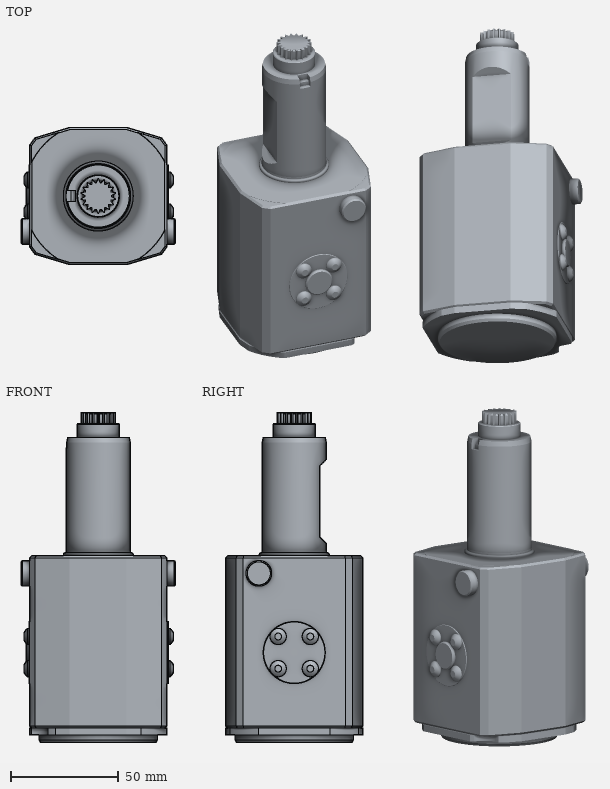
import cadquery as cq
import math

FOOT_BREAK_Z = 1.3
FOOT_TOP_Z = 3.6
PLATE_TOP_Z = 6.7
HOUSING_TOP_Z = 87.2
COLLAR_HEIGHT = 1.4
SHANK_ROOT_Z = 89.5
SHANK_TOP_Z = 142.4
SHANK_TAPER_Z = 140.0
NECK_TOP_Z = 148.8
OVERALL_HEIGHT = 154.0

HOUSING_HALF = 32.0
FRONT_FLAT_HALF = 13.4
CORNER_X = 29.5
CORNER_Y = 27.2
SIDE_FLAT_HALF = 23.8
HOUSING_CHAMFER = 1.0
TOP_STEP_RADIUS = 34.9
TOP_STEP_DEPTH = 0.15

PLATE_RADIUS = 36.1
NOTCH_X = -23.5
NOTCH_Y = -18.4
NOTCH_RADIUS = 6.5
FOOT_DIAMETER = 55.4
FOOT_BEVEL = 0.8

COLLAR_DIAMETER = 32.7
COLLAR_ROUNDING = 1.0
ROOT_DIAMETER = 30.3
SHANK_DIAMETER = 30.0
SHANK_TIP_DIAMETER = 29.0
NECK_DIAMETER = 19.8
NECK_CHAMFER = 0.3
FLAT_Y = 11.9
FLAT_BOTTOM_Z = 96.0
FLAT_TOP_Z = 129.1
KEY_WIDTH = 5.2
KEY_WALL_X = -10.7
KEY_FLOOR_Z = 137.5
KEY_STEP_X = -12.8
KEY_STEP_Z = 139.5

SPLINE_TEETH = 18
SPLINE_TIP_RADIUS = 8.1
SPLINE_ROOT_RADIUS = 7.1
SPLINE_END_RADIUS = 6.3
TIP_SHARE = 0.1
ROOT_SHARE = 0.2

COVER_DIAMETER = 29.0
COVER_Z = 42.0
COVER_CHAMFER = 0.2
LEFT_COVER_HEIGHT = 0.4
RIGHT_COVER_HEIGHT = 0.85
PLUG_DIAMETER = 13.2
PLUG_TIP_DIAMETER = 12.0
PLUG_HEIGHT = 1.4
SCREW_OFFSET = 7.5
SCREW_HEAD_DIAMETER = 7.6
SCREW_HEAD_HEIGHT = 2.3
SCREW_RIM_HEIGHT = 0.6
SCREW_TOP_DIAMETER = 3.2
SCREW_BULGE = 0.65
PIN_DIAMETER = 12.0
PIN_TIP_X = 36.0
PIN_Y = -16.5
PIN_Z = 78.95
PIN_CHAMFER = 0.6
EMBED = 1.0


def cylinder(diameter, bottom, top):
    return cq.Workplane("XY").workplane(offset=bottom).circle(diameter / 2).extrude(top - bottom)


def revolve_z(points):
    """Solid turned about the Z axis from (radius, z) points."""
    return cq.Workplane("XZ").polyline(points).close().revolve(360, (0, 0, 0), (0, 1, 0))


def housing_prism(bottom, top):
    """Twelve-sided block, symmetric about X and Y."""
    quarter = [
        (HOUSING_HALF, SIDE_FLAT_HALF),
        (CORNER_X, CORNER_Y),
        (FRONT_FLAT_HALF, HOUSING_HALF),
    ]
    mirrored = [(-x, y) for x, y in reversed(quarter)]
    upper = quarter + mirrored
    lower = [(-x, -y) for x, y in upper]
    return cq.Workplane("XY").workplane(offset=bottom).polyline(upper + lower).close().extrude(top - bottom)


def make_housing():
    body = housing_prism(PLATE_TOP_Z, HOUSING_TOP_Z)
    body = body.faces("<Z or >Z").chamfer(HOUSING_CHAMFER)
    rim = (
        cq.Workplane("XY")
        .workplane(offset=HOUSING_TOP_Z - TOP_STEP_DEPTH)
        .circle(2 * HOUSING_HALF)
        .circle(TOP_STEP_RADIUS)
        .extrude(TOP_STEP_DEPTH)
    )
    return body.cut(rim)


def make_base():
    plate = housing_prism(FOOT_TOP_Z, PLATE_TOP_Z)
    plate = plate.intersect(cylinder(2 * PLATE_RADIUS, FOOT_TOP_Z, PLATE_TOP_Z))
    foot_radius = FOOT_DIAMETER / 2
    foot = revolve_z([
        (0, 0),
        (foot_radius - FOOT_BEVEL, 0),
        (foot_radius, FOOT_BREAK_Z),
        (foot_radius, FOOT_TOP_Z),
        (0, FOOT_TOP_Z),
    ])
    return plate.cut(corner_notch()).union(foot)


def corner_notch():
    """Block that clears the -X -Y corner of the base plate."""
    notch = cq.Workplane("XY").box(
        HOUSING_HALF, HOUSING_HALF, PLATE_TOP_Z - FOOT_TOP_Z, centered=False
    )
    notch = notch.edges("|Z and >X and >Y").fillet(NOTCH_RADIUS)
    return notch.translate((NOTCH_X - HOUSING_HALF, NOTCH_Y - HOUSING_HALF, FOOT_TOP_Z))


def make_shank():
    collar_top = HOUSING_TOP_Z + COLLAR_HEIGHT
    collar = cylinder(COLLAR_DIAMETER, HOUSING_TOP_Z - EMBED, collar_top)
    collar = collar.faces(">Z").edges().fillet(COLLAR_ROUNDING)
    shank = revolve_z([
        (0, HOUSING_TOP_Z),
        (ROOT_DIAMETER / 2, HOUSING_TOP_Z),
        (ROOT_DIAMETER / 2, collar_top),
        (SHANK_DIAMETER / 2, SHANK_ROOT_Z),
        (SHANK_DIAMETER / 2, SHANK_TAPER_Z),
        (SHANK_TIP_DIAMETER / 2, SHANK_TOP_Z),
        (0, SHANK_TOP_Z),
    ])
    neck = cylinder(NECK_DIAMETER, SHANK_TOP_Z, NECK_TOP_Z).faces(">Z").chamfer(NECK_CHAMFER)
    return shank.cut(relief_flat()).cut(key_slot()).union(collar).union(neck)


def relief_flat():
    """Flat along the +Y side of the shank with 45 degree run-outs."""
    depth = SHANK_DIAMETER - FLAT_Y
    profile = [
        (FLAT_Y, FLAT_BOTTOM_Z),
        (FLAT_Y, FLAT_TOP_Z),
        (FLAT_Y + depth, FLAT_TOP_Z + depth),
        (FLAT_Y + depth, FLAT_BOTTOM_Z - depth),
    ]
    return cq.Workplane("YZ").polyline(profile).close().extrude(SHANK_DIAMETER / 2, both=True)


def key_slot():
    """Slot in the -X side of the shank tip with a stepped floor."""
    profile = [
        (-SHANK_DIAMETER, KEY_FLOOR_Z),
        (KEY_STEP_X, KEY_FLOOR_Z),
        (KEY_STEP_X, KEY_STEP_Z),
        (KEY_WALL_X, KEY_STEP_Z),
        (KEY_WALL_X, SHANK_TOP_Z),
        (-SHANK_DIAMETER, SHANK_TOP_Z),
    ]
    return cq.Workplane("XZ").polyline(profile).close().extrude(KEY_WIDTH / 2, both=True)


def make_spline():
    """Toothed shaft end with one tooth centred on the +Y axis."""
    half_gap = (1 - ROOT_SHARE) / 2
    pitch = 2 * math.pi / SPLINE_TEETH
    corners = [
        (SPLINE_END_RADIUS, -half_gap),
        (SPLINE_TIP_RADIUS, -TIP_SHARE / 2),
        (SPLINE_TIP_RADIUS, TIP_SHARE / 2),
        (SPLINE_END_RADIUS, half_gap),
    ]
    points = []
    for tooth in range(SPLINE_TEETH):
        for radius, share in corners:
            angle = math.pi / 2 + (tooth + share) * pitch
            points.append((radius * math.cos(angle), radius * math.sin(angle)))
    length = OVERALL_HEIGHT - NECK_TOP_Z
    teeth = cq.Workplane("XY").workplane(offset=NECK_TOP_Z).polyline(points).close().extrude(length)
    core = cylinder(2 * SPLINE_ROOT_RADIUS, NECK_TOP_Z, OVERALL_HEIGHT)
    core = core.faces(">Z").chamfer(SPLINE_ROOT_RADIUS - SPLINE_END_RADIUS)
    return teeth.union(core)


def side_disc(diameter, height):
    """Disc on the +X housing face, at Y = 0 and Z = 0."""
    return (
        cq.Workplane("YZ")
        .workplane(offset=HOUSING_HALF - EMBED)
        .circle(diameter / 2)
        .extrude(EMBED + height)
    )


def screw_head():
    """Button head screw pointing along +X, seated at X = 0."""
    radius = SCREW_HEAD_DIAMETER / 2
    top_radius = SCREW_TOP_DIAMETER / 2
    middle = (
        SCREW_RIM_HEIGHT + SCREW_BULGE * (SCREW_HEAD_HEIGHT - SCREW_RIM_HEIGHT),
        (radius + top_radius) / 2,
    )
    return (
        cq.Workplane("XY")
        .moveTo(0, 0)
        .lineTo(0, radius)
        .lineTo(SCREW_RIM_HEIGHT, radius)
        .threePointArc(middle, (SCREW_HEAD_HEIGHT, top_radius))
        .lineTo(SCREW_HEAD_HEIGHT, 0)
        .close()
        .revolve(360, (0, 0, 0), (1, 0, 0))
    )


def make_cover(height):
    """Round cover with four screws on the +X face."""
    cover = side_disc(COVER_DIAMETER, height).faces(">X").chamfer(COVER_CHAMFER)
    for y in (-SCREW_OFFSET, SCREW_OFFSET):
        for z in (-SCREW_OFFSET, SCREW_OFFSET):
            cover = cover.union(screw_head().translate((HOUSING_HALF + height, y, z)))
    return cover.translate((0, 0, COVER_Z))


def make_plug():
    plug = side_disc(PLUG_DIAMETER, LEFT_COVER_HEIGHT + PLUG_HEIGHT)
    plug = plug.faces(">X").chamfer((PLUG_DIAMETER - PLUG_TIP_DIAMETER) / 2)
    return plug.translate((0, 0, COVER_Z))


def make_pin():
    pin = side_disc(PIN_DIAMETER, PIN_TIP_X - HOUSING_HALF)
    return pin.faces(">X").chamfer(PIN_CHAMFER).translate((0, PIN_Y, PIN_Z))


result = make_housing().union(make_base()).union(make_shank()).union(make_spline())
right_fittings = [make_cover(RIGHT_COVER_HEIGHT), make_pin()]
left_fittings = [make_cover(LEFT_COVER_HEIGHT), make_plug(), make_pin()]
for fitting in right_fittings:
    result = result.union(fitting)
for fitting in left_fittings:
    result = result.union(fitting.mirror("YZ"))